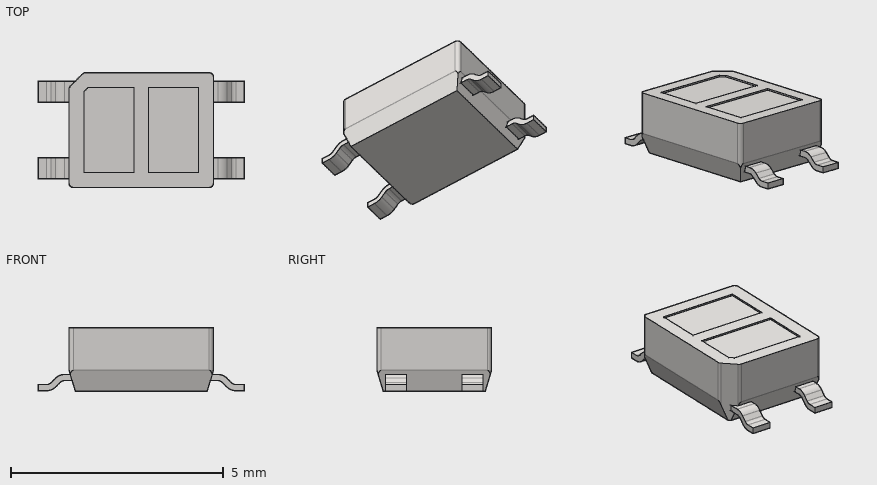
import cadquery as cq
import math

HOUSING_LENGTH = 3.4
HOUSING_WIDTH = 2.7
HOUSING_HEIGHT = 1.5
BEVEL_HEIGHT = 0.5
BEVEL_INSET = 0.15
INDEX_CHAMFER = 0.35
CORNER_RADIUS = 0.1

FRAME_WIDTH = 0.35
WINDOW_DEPTH = 0.04
WINDOW_CHAMFER = 0.1
WINDOW_WIDTH = HOUSING_WIDTH - 2 * FRAME_WIDTH
WINDOW_LENGTH = (HOUSING_LENGTH - 3 * FRAME_WIDTH) / 2
WINDOW_OFFSET = (WINDOW_LENGTH + FRAME_WIDTH) / 2

LEAD_SPAN = 4.85
LEAD_WIDTH = 0.5
LEAD_THICKNESS = 0.15
LEAD_PITCH = 1.8
ROOT_DEPTH = 0.2
LEAD_LIFT = 0.015
FOOT_LENGTH = 0.2
BEND_INNER_RADIUS = 0.15
SLOPE_LENGTH = 0.15
BEND_ANGLE = math.radians(45)
BEND_OUTER_RADIUS = BEND_INNER_RADIUS + LEAD_THICKNESS


def bevelled_block(plane, width, depth):
    """Block with its two lower side walls sloping in, extruded symmetrically."""
    half_top = width / 2
    half_base = half_top - BEVEL_INSET
    return (
        cq.Workplane(plane)
        .polyline([
            (-half_base, 0),
            (half_base, 0),
            (half_top, BEVEL_HEIGHT),
            (half_top, HOUSING_HEIGHT),
            (-half_top, HOUSING_HEIGHT),
            (-half_top, BEVEL_HEIGHT),
        ])
        .close()
        .extrude(depth / 2, both=True)
    )


def make_window(center_x):
    """Cutter for one rectangular window in the top face."""
    return (
        cq.Workplane("XY", origin=(center_x, 0, HOUSING_HEIGHT - WINDOW_DEPTH))
        .rect(WINDOW_LENGTH, WINDOW_WIDTH)
        .extrude(WINDOW_DEPTH)
    )


def make_housing():
    outline = (
        cq.Workplane("XY")
        .rect(HOUSING_LENGTH, HOUSING_WIDTH)
        .extrude(HOUSING_HEIGHT)
        .edges("|Z and <X and >Y")
        .chamfer(INDEX_CHAMFER)
        .edges("|Z")
        .fillet(CORNER_RADIUS)
    )
    index_window = make_window(-WINDOW_OFFSET).edges("|Z and <X and >Y").chamfer(WINDOW_CHAMFER)
    plain_window = make_window(WINDOW_OFFSET)
    return (
        outline
        .intersect(bevelled_block("XZ", HOUSING_LENGTH, HOUSING_WIDTH))
        .intersect(bevelled_block("YZ", HOUSING_WIDTH, HOUSING_LENGTH))
        .cut(index_window)
        .cut(plain_window)
    )


def arc_point(center, radius, angle):
    """Point on an arc, with the angle measured from straight up towards -X."""
    return (center[0] - radius * math.sin(angle), center[1] + radius * math.cos(angle))


def make_lead(side, center_y):
    """One lead on the -X (side = -1) or +X (side = 1) end, with its root inside the housing."""
    tip_x = -LEAD_SPAN / 2
    foot_end_x = tip_x + FOOT_LENGTH
    foot_top = LEAD_LIFT + LEAD_THICKNESS
    radius_sum = BEND_INNER_RADIUS + BEND_OUTER_RADIUS

    lower_center = (foot_end_x, foot_top + BEND_INNER_RADIUS)
    upper_center = (
        foot_end_x + radius_sum * math.sin(BEND_ANGLE) + SLOPE_LENGTH * math.cos(BEND_ANGLE),
        lower_center[1] - radius_sum * math.cos(BEND_ANGLE) + SLOPE_LENGTH * math.sin(BEND_ANGLE),
    )
    shoulder_x = upper_center[0]
    shoulder_top = upper_center[1] + BEND_OUTER_RADIUS
    shoulder_bottom = upper_center[1] + BEND_INNER_RADIUS
    root_x = -HOUSING_LENGTH / 2 + ROOT_DEPTH

    lower_mid = math.pi + BEND_ANGLE / 2
    lower_end = math.pi + BEND_ANGLE
    upper_mid = BEND_ANGLE / 2
    upper_end = BEND_ANGLE

    lead = (
        cq.Workplane("XZ", origin=(0, LEAD_WIDTH / 2, 0))
        .moveTo(tip_x, LEAD_LIFT)
        .lineTo(foot_end_x, LEAD_LIFT)
        .threePointArc(
            arc_point(lower_center, BEND_OUTER_RADIUS, lower_mid),
            arc_point(lower_center, BEND_OUTER_RADIUS, lower_end),
        )
        .lineTo(*arc_point(upper_center, BEND_INNER_RADIUS, upper_end))
        .threePointArc(
            arc_point(upper_center, BEND_INNER_RADIUS, upper_mid),
            (shoulder_x, shoulder_bottom),
        )
        .lineTo(root_x, shoulder_bottom)
        .lineTo(root_x, shoulder_top)
        .lineTo(shoulder_x, shoulder_top)
        .threePointArc(
            arc_point(upper_center, BEND_OUTER_RADIUS, upper_mid),
            arc_point(upper_center, BEND_OUTER_RADIUS, upper_end),
        )
        .lineTo(*arc_point(lower_center, BEND_INNER_RADIUS, lower_end))
        .threePointArc(
            arc_point(lower_center, BEND_INNER_RADIUS, lower_mid),
            (foot_end_x, foot_top),
        )
        .lineTo(tip_x, foot_top)
        .close()
        .extrude(LEAD_WIDTH)
    )
    if side > 0:
        lead = lead.mirror("YZ")
    return lead.translate((0, center_y, 0))


leads = []
for side in (-1, 1):
    for center_y in (-LEAD_PITCH / 2, LEAD_PITCH / 2):
        leads.append(make_lead(side, center_y).val())

housing = make_housing()
for lead in leads:
    housing = housing.cut(cq.Workplane(lead))

result = cq.Compound.makeCompound([housing.solids().val(), *leads])